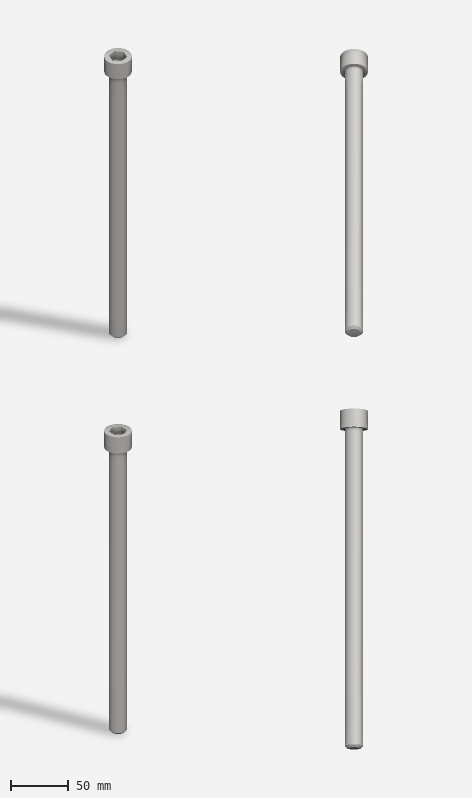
import cadquery as cq
import math

total_length = 296.0
head_diameter = 24.0
shank_diameter = 16.0
head_height = shank_diameter
shank_length = total_length - head_height
thread_length = 44.0
plain_length = shank_length - thread_length
tip_chamfer = 2.0
socket_across_flats = 14.0
socket_depth = 9.0


def make_head():
    return cq.Workplane("XY").circle(head_diameter / 2).extrude(head_height)


def make_shank():
    """Plain length and chamfered thread length, meeting at a visible seam."""
    plain = cq.Workplane("XY").circle(shank_diameter / 2).extrude(-plain_length)
    thread = (
        cq.Workplane("XY", origin=(0, 0, -plain_length))
        .circle(shank_diameter / 2)
        .extrude(-thread_length)
        .faces("<Z")
        .chamfer(tip_chamfer)
    )
    return plain.union(thread, clean=False)


def make_socket():
    """Hexagonal recess with two corners on the X axis."""
    across_corners = socket_across_flats / math.cos(math.radians(30))
    return (
        cq.Workplane("XY", origin=(0, 0, head_height))
        .polygon(6, across_corners)
        .extrude(-socket_depth)
    )


result = make_head().union(make_shank(), clean=False).cut(make_socket(), clean=False)